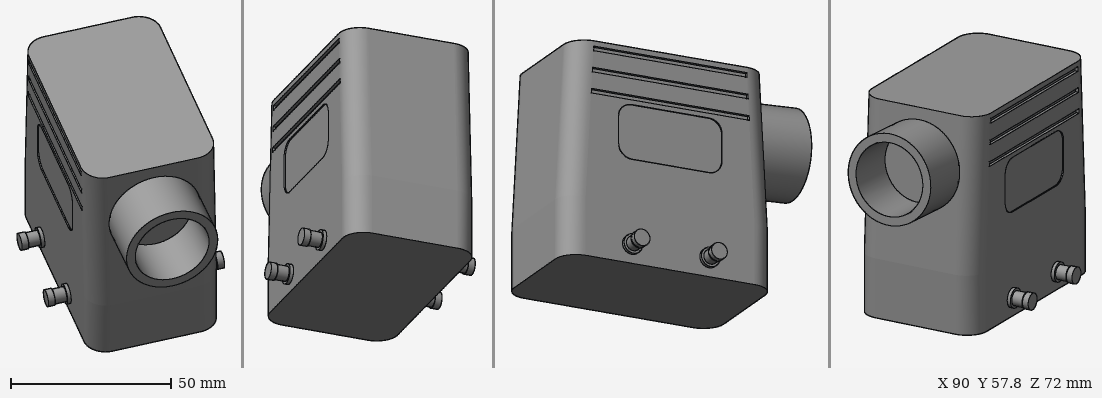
import cadquery as cq
import math

overall_length = 90.0
height = 72.0
skirt_height = 19.8
base_length = 73.15
top_length = 67.4
depth = 43.2
corner_radius = 7.1

tube_diameter = 30.0
bore_diameter = 24.2
tube_center_height = 54.0
draft_angle = math.atan((base_length - top_length) / 2 / (height - skirt_height))

pin_spacing = 27.0
pin_height = 6.2
pin_length = 7.3
pin_diameter = 4.9
collar_diameter = 6.5
collar_length = 1.2
head_diameter = 5.5
head_length = 2.25

groove_count = 3
groove_top_drop = 1.8
groove_pitch = 7.1
groove_width = 1.5
groove_depth = 1.1

label_length = 36.1
label_height = 18.2
label_center_height = 43.8
label_radius = 4.6
label_depth = 0.45


def make_hood():
    """Straight skirt and tapered upper part in one profile, with the upright corners rounded."""
    half_base = base_length / 2
    half_top = top_length / 2
    right_side = [(half_base, 0), (half_base, skirt_height), (half_top, height)]
    left_side = [(-x, z) for x, z in reversed(right_side)]
    block = cq.Workplane("XZ").polyline(right_side + left_side).close().extrude(depth / 2, both=True)
    return block.edges("not(#Z)").fillet(corner_radius)


def wall_half_length(z):
    """Distance from the middle of the hood to its drafted end wall at height z."""
    return base_length / 2 - (z - skirt_height) * math.tan(draft_angle)


def side_plane(side):
    """Plane on the broad wall at y = side * depth / 2, facing outward, with local y along Z."""
    return cq.Plane(origin=(0, side * depth / 2, 0), xDir=(-side, 0, 0), normal=(0, side, 0))


def make_groove(side, z_top):
    """Cutter that ends where the flat wall meets the corner rounds."""
    z_bottom = z_top - groove_width
    half_top = wall_half_length(z_top) - corner_radius
    half_bottom = wall_half_length(z_bottom) - corner_radius
    outline = [(-half_bottom, z_bottom), (half_bottom, z_bottom), (half_top, z_top), (-half_top, z_top)]
    return cq.Workplane(side_plane(side)).polyline(outline).close().extrude(-groove_depth)


def make_label_recess(side):
    """Cutter for the rounded label field."""
    block = cq.Workplane(side_plane(side)).center(0, label_center_height)
    return block.rect(label_length, label_height).extrude(-label_depth).edges("|Y").fillet(label_radius)


def make_pin(side, x):
    """Stepped pin with a collar at the wall and a head at the tip."""
    base = cq.Workplane(side_plane(side)).center(-side * x, pin_height)
    shaft = base.circle(pin_diameter / 2).extrude(pin_length)
    collar = base.circle(collar_diameter / 2).extrude(collar_length)
    head = base.workplane(offset=pin_length - head_length).circle(head_diameter / 2).extrude(head_length)
    return shaft.union(collar).union(head)


mouth_x = overall_length - base_length / 2 - tube_diameter / 2 * math.sin(draft_angle)
mouth_plane = cq.Plane(
    origin=(mouth_x, 0, tube_center_height),
    xDir=(0, 1, 0),
    normal=(math.cos(draft_angle), 0, math.sin(draft_angle)),
)
tube_length = (mouth_x - wall_half_length(tube_center_height)) * math.cos(draft_angle)

tube = cq.Workplane(mouth_plane).circle(tube_diameter / 2).extrude(-tube_length)
bore = cq.Workplane(mouth_plane).circle(bore_diameter / 2).extrude(-tube_length)

result = make_hood().union(tube).cut(bore)
for side in (-1, 1):
    for groove in range(groove_count):
        result = result.cut(make_groove(side, height - groove_top_drop - groove * groove_pitch))
    result = result.cut(make_label_recess(side))
    for x in (-pin_spacing / 2, pin_spacing / 2):
        result = result.union(make_pin(side, x))